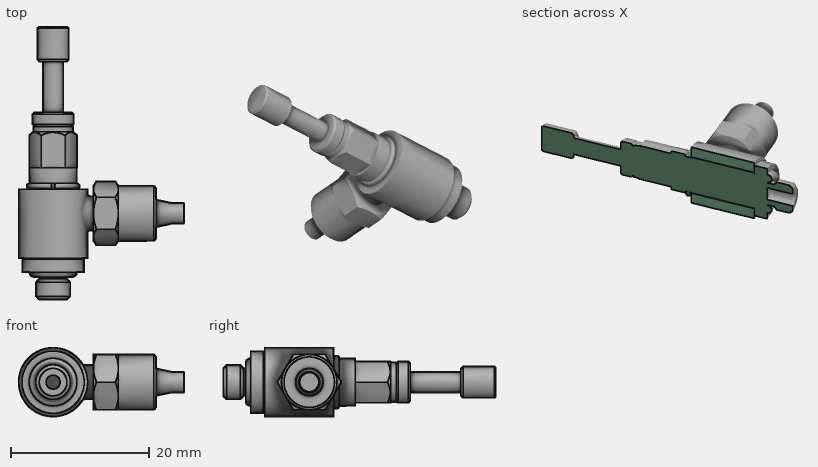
import cadquery as cq
import math


HOUSING_DIA = 10.0
HOUSING_START = 6.0
HOUSING_END = 16.0
BORE_DIA = 6.3

BRANCH_Y = 12.5
BRANCH_NECK_DIA = 5.0
BRANCH_NECK_FILLET = 0.28
NUT_FLATS = 8.0
NUT_START = 5.85
NUT_END = 9.45
NUT_CHAMFER_LENGTH = 0.45
SLEEVE_DIA = NUT_FLATS
SLEEVE_END = 14.95
SLEEVE_CHAMFER = 0.35
NOZZLE_ROOT_DIA = 4.0
NOZZLE_TIP_DIA = 3.0
NOZZLE_CONE_END = 17.22
NOZZLE_END = 19.0
NOZZLE_CHAMFER = 0.1

THREAD_DIA = 5.0
THREAD_CHAMFER = 0.5
THREAD_END = 2.5
RELIEF_DIA = 4.0
RELIEF_START = 3.0
INLET_HOLE_DIA = 2.0
INLET_HOLE_DEPTH = 4.0
SEAL_DIA = 6.9
FLANGE_DIA = 9.0
FLANGE_START = 4.0
FLANGE_CHAMFER = 0.2

GROOVE_END = 16.83
RING_CENTRE_DIA = 6.9
RING_SECTION_RADIUS = 0.4
RING_GAP = 0.5

BAND_DIA = 6.9
BAND_END = 19.1
HEX_FLATS = 6.0
HEX_END = 24.3
HEX_CHAMFER_LENGTH = 0.5
SPACER_DIA = 5.8
SPACER_END = 25.05
UNDERCUT_DIA = 5.15
COLLAR_DIA = 6.0
COLLAR_START = 25.35
COLLAR_END = 27.1
COLLAR_CHAMFER = 0.28
ROD_DIA = 3.0
KNOB_DIA = 4.6
KNOB_START = 34.4
KNOB_INNER_CHAMFER = 0.35
KNOB_OUTER_CHAMFER = 0.25
STEM_LENGTH = 39.5


def across_corners(flats):
    return flats / math.cos(math.pi / 6)


def hex_prism(flats, length):
    """Hexagonal prism along Y from y = 0, with flats facing up and down."""
    return cq.Workplane("XZ").polygon(6, across_corners(flats)).extrude(-length)


def chamfer_envelope(flats, length, end_dia, chamfer_length):
    """Round envelope along Y that bevels the hexagon corners at y = length."""
    corner_radius = across_corners(flats) / 2
    return (
        cq.Workplane("XY")
        .moveTo(0, 0)
        .lineTo(corner_radius, 0)
        .lineTo(corner_radius, length - chamfer_length)
        .lineTo(end_dia / 2, length)
        .lineTo(0, length)
        .close()
        .revolve(360, (0, 0), (0, 1))
    )


def make_nut():
    """Branch nut with flats facing up and down."""
    length = NUT_END - NUT_START
    envelope = chamfer_envelope(NUT_FLATS, length, NUT_FLATS, NUT_CHAMFER_LENGTH)
    opposite_envelope = envelope.mirror("XZ").translate((0, length, 0))
    nut = hex_prism(NUT_FLATS, length).intersect(envelope).intersect(opposite_envelope)
    return nut.rotate((0, 0, 0), (0, 0, 1), -90).translate((NUT_START, BRANCH_Y, 0))


def make_sleeve_and_nozzle():
    """Round sleeve behind the nut, ending in a tapered hose nozzle."""
    return (
        cq.Workplane("XY", origin=(0, BRANCH_Y, 0))
        .moveTo(NUT_END, 0)
        .lineTo(NUT_END, SLEEVE_DIA / 2)
        .lineTo(SLEEVE_END - SLEEVE_CHAMFER, SLEEVE_DIA / 2)
        .lineTo(SLEEVE_END, SLEEVE_DIA / 2 - SLEEVE_CHAMFER)
        .lineTo(SLEEVE_END, NOZZLE_ROOT_DIA / 2)
        .lineTo(NOZZLE_CONE_END, NOZZLE_TIP_DIA / 2)
        .lineTo(NOZZLE_END - NOZZLE_CHAMFER, NOZZLE_TIP_DIA / 2)
        .lineTo(NOZZLE_END, NOZZLE_TIP_DIA / 2 - NOZZLE_CHAMFER)
        .lineTo(NOZZLE_END, 0)
        .close()
        .revolve(360, (0, 0), (1, 0))
    )


def make_housing():
    """Cylindrical housing with its side branch and the bore for the stem."""
    length = HOUSING_END - HOUSING_START
    barrel = cq.Workplane("XZ", origin=(0, HOUSING_START, 0)).circle(HOUSING_DIA / 2).extrude(-length)
    neck = cq.Workplane("YZ", origin=(0, BRANCH_Y, 0)).circle(BRANCH_NECK_DIA / 2).extrude(NUT_START)
    body = barrel.union(neck)
    saddle_box = cq.selectors.BoxSelector(
        (0.4, BRANCH_Y - BRANCH_NECK_DIA, -BRANCH_NECK_DIA),
        (NUT_START - 0.4, BRANCH_Y + BRANCH_NECK_DIA, BRANCH_NECK_DIA),
    )
    body = body.edges(saddle_box).edges("not %LINE").fillet(BRANCH_NECK_FILLET)
    body = body.union(make_nut()).union(make_sleeve_and_nozzle())
    bore = cq.Workplane("XZ", origin=(0, HOUSING_START, 0)).circle(BORE_DIA / 2).extrude(-length)
    return body.cut(bore)


def make_turned_stem():
    """Turned profile of the stem, from the threaded tip to the knob."""
    seal_radius = (SEAL_DIA - RELIEF_DIA) / 4
    return (
        cq.Workplane("XY")
        .moveTo(0, 0)
        .lineTo(THREAD_DIA / 2 - THREAD_CHAMFER, 0)
        .lineTo(THREAD_DIA / 2, THREAD_CHAMFER)
        .lineTo(THREAD_DIA / 2, THREAD_END)
        .lineTo(RELIEF_DIA / 2, RELIEF_START)
        .lineTo(RELIEF_DIA / 2, FLANGE_START)
        .threePointArc(
            (RELIEF_DIA / 2 + seal_radius, FLANGE_START - seal_radius),
            (SEAL_DIA / 2, FLANGE_START),
        )
        .lineTo(FLANGE_DIA / 2, FLANGE_START)
        .lineTo(FLANGE_DIA / 2, HOUSING_START - FLANGE_CHAMFER)
        .lineTo(FLANGE_DIA / 2 - FLANGE_CHAMFER, HOUSING_START)
        .lineTo(BORE_DIA / 2, HOUSING_START)
        .lineTo(BORE_DIA / 2, GROOVE_END)
        .lineTo(BAND_DIA / 2, GROOVE_END)
        .lineTo(BAND_DIA / 2, BAND_END)
        .lineTo(SPACER_DIA / 2, BAND_END)
        .lineTo(SPACER_DIA / 2, SPACER_END)
        .lineTo(UNDERCUT_DIA / 2, SPACER_END)
        .lineTo(COLLAR_DIA / 2, COLLAR_START)
        .lineTo(COLLAR_DIA / 2, COLLAR_END - COLLAR_CHAMFER)
        .lineTo(COLLAR_DIA / 2 - COLLAR_CHAMFER, COLLAR_END)
        .lineTo(ROD_DIA / 2, COLLAR_END)
        .lineTo(ROD_DIA / 2, KNOB_START)
        .lineTo(KNOB_DIA / 2 - KNOB_INNER_CHAMFER, KNOB_START)
        .lineTo(KNOB_DIA / 2, KNOB_START + KNOB_INNER_CHAMFER)
        .lineTo(KNOB_DIA / 2, STEM_LENGTH - KNOB_OUTER_CHAMFER)
        .lineTo(KNOB_DIA / 2 - KNOB_OUTER_CHAMFER, STEM_LENGTH)
        .lineTo(0, STEM_LENGTH)
        .close()
        .revolve(360, (0, 0), (0, 1))
    )


def make_stem_hex():
    """Wrench hexagon with flats facing up and down, chamfered at the knob end."""
    length = HEX_END - BAND_END
    envelope = chamfer_envelope(HEX_FLATS, length, SPACER_DIA, HEX_CHAMFER_LENGTH)
    return hex_prism(HEX_FLATS, length).intersect(envelope).translate((0, BAND_END, 0))


def make_retaining_ring():
    """Round-section ring seated in the groove, with a gap at the top."""
    ring_y = (HOUSING_END + GROOVE_END) / 2
    ring = (
        cq.Workplane("ZY")
        .center(-RING_CENTRE_DIA / 2, ring_y)
        .circle(RING_SECTION_RADIUS)
        .revolve(360, (RING_CENTRE_DIA / 2, 0), (RING_CENTRE_DIA / 2, 1))
    )
    gap = (
        cq.Workplane("XY", origin=(0, ring_y, 0))
        .rect(RING_GAP, GROOVE_END - HOUSING_END)
        .extrude(RING_CENTRE_DIA)
    )
    return ring.cut(gap)


def make_stem():
    """Complete stem with hexagon, retaining ring and blind inlet hole."""
    inlet_hole = cq.Workplane("XZ").circle(INLET_HOLE_DIA / 2).extrude(-INLET_HOLE_DEPTH)
    return (
        make_turned_stem()
        .union(make_stem_hex())
        .union(make_retaining_ring())
        .cut(inlet_hole)
    )


housing = make_housing()
stem = make_stem()
result = cq.Compound.makeCompound([housing.val(), stem.val()])